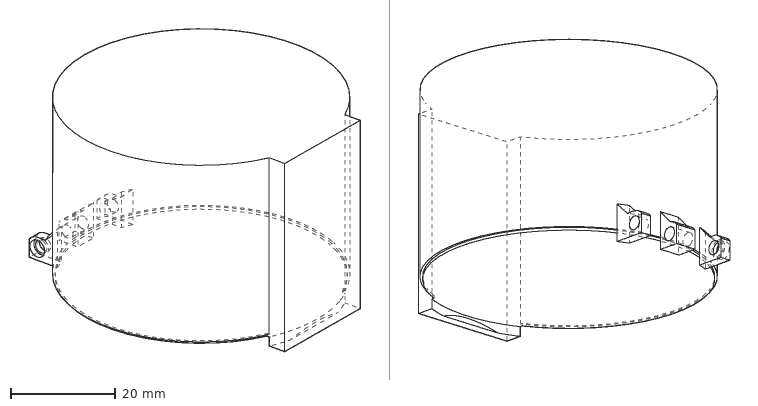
import cadquery as cq
import math

drum_radius = 57.0 / 2
rim_radius = 56.0 / 2
total_height = 40.6
drum_base = 1.95
rim_height = 0.55

total_length = 62.85
latch_face = 29.85
lug_face = latch_face - total_length

latch_half_width = 11.55
lip_foot = 27.6
lip_height = 1.5

lug_width = 2.4
middle_lug_width = 4.8
knuckle_radius = 2.45
pin_x = lug_face + 2.0
pin_z = 2.5
pin_diameter = 2.75
pin_head_diameter = 3.6
pin_head_depth = 1.2
ramp_top = 7.65


def box_between(x_start, x_end, half_width, height):
    return (
        cq.Workplane("XY")
        .box(x_end - x_start, 2 * half_width, height, centered=(False, True, False))
        .translate((x_start, 0, 0))
    )


def pin_cylinder(diameter, y_start, length):
    axis_start = cq.Vector(pin_x, y_start, pin_z)
    return cq.Workplane(cq.Solid.makeCylinder(diameter / 2, length, axis_start, cq.Vector(0, 1, 0)))


def make_drum():
    """Drum with a short, slightly narrower rim at its base."""
    rim = cq.Workplane("XY").workplane(offset=drum_base).circle(rim_radius).extrude(rim_height)
    wall_base = drum_base + rim_height
    wall = cq.Workplane("XY").workplane(offset=wall_base).circle(drum_radius).extrude(total_height - wall_base)
    return rim.union(wall)


def make_latch():
    """Full-height block hollowed to the drum radius, with a lip sloping inward at its foot."""
    bore = cq.Workplane("XY").circle(drum_radius).extrude(drum_base)
    block = box_between(0, latch_face, latch_half_width, total_height).cut(bore)
    lip = (
        cq.Workplane("XZ")
        .moveTo(lip_foot, 0)
        .lineTo(latch_face, 0)
        .lineTo(latch_face, lip_height)
        .lineTo(drum_radius, lip_height)
        .close()
        .extrude(latch_half_width, both=True)
    )
    return block.union(lip)


def make_lugs():
    """Three knuckles outside the drum, joined to its wall by a common 45 degree conical ramp."""
    knuckle_top = pin_z + knuckle_radius
    pin_inset = pin_x - lug_face
    face_top = pin_z + math.sqrt(knuckle_radius**2 - pin_inset**2)
    arc_middle = math.pi - (math.acos(pin_inset / knuckle_radius) + math.pi / 2) / 2
    knuckles = (
        cq.Workplane("XZ")
        .moveTo(lug_face, 0)
        .lineTo(lug_face, face_top)
        .threePointArc(
            (
                pin_x + knuckle_radius * math.cos(arc_middle),
                pin_z + knuckle_radius * math.sin(arc_middle),
            ),
            (pin_x, knuckle_top),
        )
        .lineTo(0, knuckle_top)
        .lineTo(0, 0)
        .close()
        .extrude(latch_half_width, both=True)
    )
    ramp_foot_radius = drum_radius + ramp_top - knuckle_top
    ramp = (
        cq.Workplane("XZ")
        .moveTo(0, 0)
        .lineTo(ramp_foot_radius, 0)
        .lineTo(ramp_foot_radius, knuckle_top)
        .lineTo(drum_radius, ramp_top)
        .lineTo(0, ramp_top)
        .close()
        .revolve(360, (0, 0), (0, 1))
    )
    core = cq.Workplane("XY").circle(drum_radius).extrude(ramp_top)
    ring = knuckles.union(ramp).cut(core)

    outer_lug_y = latch_half_width - lug_width / 2
    lugs = cq.Workplane("XY")
    for y, width in ((-outer_lug_y, lug_width), (0, middle_lug_width), (outer_lug_y, lug_width)):
        slab = box_between(lug_face, 0, width / 2, ramp_top).translate((0, y, 0))
        lugs = lugs.add(slab.intersect(ring))
    lugs = lugs.combine()

    pin_hole = pin_cylinder(pin_diameter, -latch_half_width, 2 * latch_half_width)
    pin_head = pin_cylinder(pin_head_diameter, -latch_half_width, pin_head_depth)
    return lugs.cut(pin_hole).cut(pin_head)


result = make_drum().union(make_latch()).union(make_lugs())